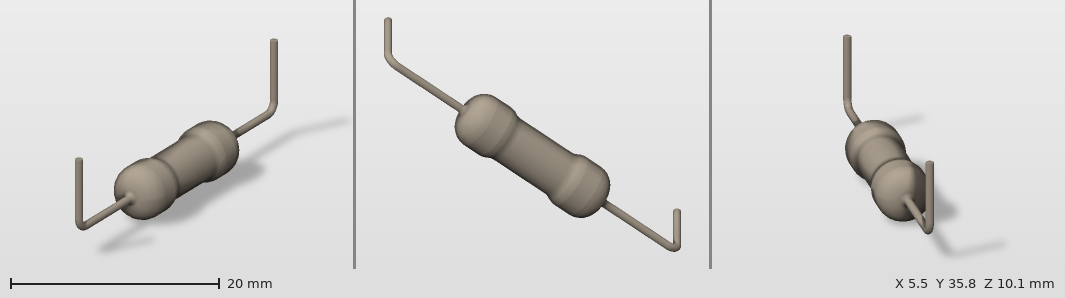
import cadquery as cq
import math

body_diameter = 5.5
waist_diameter = 4.7
body_length = 16.6
end_round = 1.97
shoulder_outer_y = 4.6
shoulder_inner_y = 3.08

wire_diameter = 0.8
lead_span = 35.8
lead_top_z = 7.35
bend_radius = 1.18
meniscus_length = 0.5
meniscus_radius = 0.9

body_radius = body_diameter / 2
waist_radius = waist_diameter / 2
wire_radius = wire_diameter / 2
body_end_y = body_length / 2
lead_y = lead_span / 2 - wire_radius
diagonal = math.sqrt(0.5)


def half_body():
    """Half of the body from its middle to the meniscus tip on the +Y side."""
    shoulder_mid = (
        (body_radius + waist_radius) / 2,
        (shoulder_outer_y + shoulder_inner_y) / 2,
    )
    round_radius_at_end = body_radius - end_round
    round_start_y = body_end_y - end_round
    round_mid = (round_radius_at_end + end_round * diagonal, round_start_y + end_round * diagonal)
    tip_y = body_end_y + meniscus_length
    meniscus_width = meniscus_radius - wire_radius
    meniscus_base_y = round_start_y + math.sqrt(
        end_round**2 - (meniscus_radius - round_radius_at_end) ** 2
    )
    meniscus_mid = (
        meniscus_radius - meniscus_width * diagonal,
        tip_y - (tip_y - meniscus_base_y) * diagonal,
    )
    return (
        cq.Workplane("XY")
        .lineTo(waist_radius, 0)
        .lineTo(waist_radius, shoulder_inner_y)
        .tangentArcPoint(shoulder_mid, relative=False)
        .tangentArcPoint((body_radius, shoulder_outer_y), relative=False)
        .lineTo(body_radius, round_start_y)
        .threePointArc(round_mid, (meniscus_radius, meniscus_base_y))
        .threePointArc(meniscus_mid, (wire_radius, tip_y))
        .lineTo(0, tip_y)
        .close()
        .revolve(360, (0, 0, 0), (0, 1, 0))
    )


def half_lead():
    """Lead from the body middle out along +Y, then bent up along +Z."""
    bend_start_y = lead_y - bend_radius
    bend_mid = (bend_start_y + bend_radius * diagonal, bend_radius * (1 - diagonal))
    path = (
        cq.Workplane("YZ")
        .lineTo(bend_start_y, 0)
        .threePointArc(bend_mid, (lead_y, bend_radius))
        .lineTo(lead_y, lead_top_z)
    )
    return cq.Workplane("XZ").circle(wire_radius).sweep(path)


half_resistor = half_body().union(half_lead())
result = half_resistor.union(half_resistor.mirror("XZ"))